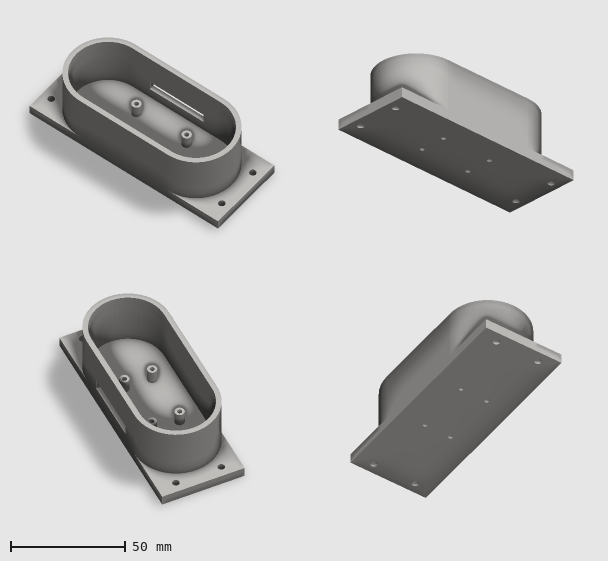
import cadquery as cq

plate_length = 105.0
plate_width = 40.0
plate_thickness = 5.0

total_height = 30.0
housing_length = 89.0
wall_thickness = 2.5
floor_thickness = 3.5

mount_hole_diameter = 3.3
mount_spacing_x = 95.0
mount_spacing_y = 22.0

post_diameter = 4.5
post_bore_diameter = 2.2
post_height = 6.5
post_spacing_x = 28.0
post_spacing_y = 13.5

window_length = 30.0
window_height = 5.0
window_bottom = 9.0


def stadium(length, width, bottom, top):
    """Upright stadium-shaped prism between two heights."""
    return (
        cq.Workplane("XY")
        .workplane(offset=bottom)
        .slot2D(length, width)
        .extrude(top - bottom)
    )


def cylinders(spacing_x, spacing_y, diameter, bottom, top):
    """Four upright cylinders on a rectangular pattern centred on the part."""
    return (
        cq.Workplane("XY")
        .workplane(offset=bottom)
        .rarray(spacing_x, spacing_y, 2, 2)
        .circle(diameter / 2)
        .extrude(top - bottom)
    )


def make_body():
    """Plate and housing with the cavity open at the top."""
    plate = cq.Workplane("XY").box(
        plate_length, plate_width, plate_thickness, centered=(True, True, False)
    )
    housing = stadium(housing_length, plate_width, 0, total_height)
    cavity_length = housing_length - 2 * wall_thickness
    cavity_width = plate_width - 2 * wall_thickness
    cavity = stadium(cavity_length, cavity_width, floor_thickness, total_height)
    return plate.union(housing).cut(cavity)


def add_posts(body):
    """Posts whose bores run on through the floor."""
    post_top = floor_thickness + post_height
    posts = cylinders(post_spacing_x, post_spacing_y, post_diameter, floor_thickness / 2, post_top)
    bores = cylinders(post_spacing_x, post_spacing_y, post_bore_diameter, 0, post_top)
    return body.union(posts).cut(bores)


def cut_mount_holes(body):
    """Plain through holes near the plate corners."""
    holes = cylinders(mount_spacing_x, mount_spacing_y, mount_hole_diameter, 0, plate_thickness)
    return body.cut(holes)


def cut_window(body):
    """Opening through the straight part of the +Y wall."""
    wall_middle_y = (plate_width - wall_thickness) / 2
    window = (
        cq.Workplane("XY")
        .box(window_length, 2 * wall_thickness, window_height, centered=(True, True, False))
        .translate((0, wall_middle_y, window_bottom))
    )
    return body.cut(window)


result = make_body()
result = add_posts(result)
result = cut_mount_holes(result)
result = cut_window(result)